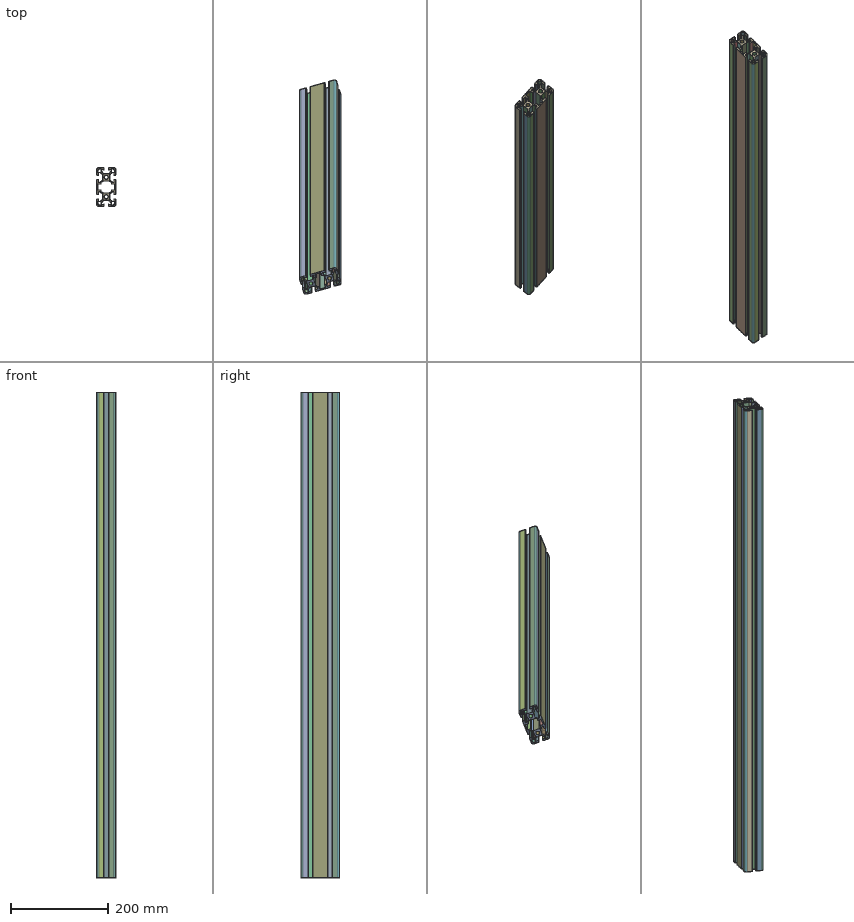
import cadquery as cq

MODULE = 40.0
MODULE_COUNT = 2
LENGTH = 1000.0
PROFILE_DEPTH = MODULE * MODULE_COUNT
HALF_WIDTH = MODULE / 2
HALF_DEPTH = PROFILE_DEPTH / 2
CORE_OFFSET = MODULE / 2
CORNER_RADIUS = 4.6

MOUTH_WIDTH = 10.8
MOUTH_DEPTH = 0.45
THROAT_WIDTH = 8.3
LIP_DEPTH_AT_SIDE = 4.15
LIP_DEPTH_AT_THROAT = 4.55
SLOT_WIDTH = 20.5
SLOT_DEPTH = 12.5
SLOT_TAPER_DEPTH = 5.9
SLOT_FLOOR_WIDTH = 11.0

CORE_BORE = 7.6
CORNER_WALL = 2.85
POCKET_SIZE = 6.85
POCKET_RADIUS = 4.0

CHAMBER_WIDTH = 20.7
CHAMBER_DEPTH = 24.0
CHAMBER_TAPER_DEPTH = 2.0
CHAMBER_END_WIDTH = 12.0
SIDE_WALL = 2.8
SIDE_ARM_DEPTH = 12.1


def make_blank():
    blank = cq.Workplane("XY").rect(MODULE, PROFILE_DEPTH).extrude(LENGTH)
    return blank.edges("|Z").fillet(CORNER_RADIUS)


def make_slot(x, y, angle):
    """T-slot opening at the face point (x, y); at angle 0 it runs inwards along -Y."""
    taper_start = SLOT_DEPTH - SLOT_TAPER_DEPTH
    right_side = [
        (MOUTH_WIDTH / 2, 0),
        (MOUTH_WIDTH / 2, -MOUTH_DEPTH),
        (THROAT_WIDTH / 2, -MOUTH_DEPTH),
        (THROAT_WIDTH / 2, -LIP_DEPTH_AT_THROAT),
        (SLOT_WIDTH / 2, -LIP_DEPTH_AT_SIDE),
        (SLOT_WIDTH / 2, -taper_start),
        (SLOT_FLOOR_WIDTH / 2, -SLOT_DEPTH),
    ]
    left_side = [(-px, py) for px, py in reversed(right_side)]
    slot = cq.Workplane("XY").polyline(right_side + left_side).close().extrude(LENGTH)
    return slot.rotate((0, 0, 0), (0, 0, 1), angle).translate((x, y, 0))


def make_central_chamber():
    """Hollow between the cores: tapered at both ends, with an arm towards each side wall."""
    body_end = CHAMBER_DEPTH / 2
    taper_start = body_end - CHAMBER_TAPER_DEPTH
    right_side = [
        (CHAMBER_END_WIDTH / 2, body_end),
        (CHAMBER_WIDTH / 2, taper_start),
        (CHAMBER_WIDTH / 2, -taper_start),
        (CHAMBER_END_WIDTH / 2, -body_end),
    ]
    left_side = [(-px, py) for px, py in reversed(right_side)]
    body = cq.Workplane("XY").polyline(right_side + left_side).close().extrude(LENGTH)
    arms = cq.Workplane("XY").rect(MODULE - 2 * SIDE_WALL, SIDE_ARM_DEPTH).extrude(LENGTH)
    return body.union(arms)


def make_core_bores():
    centres = [(0, -CORE_OFFSET), (0, CORE_OFFSET)]
    return cq.Workplane("XY").pushPoints(centres).circle(CORE_BORE / 2).extrude(LENGTH)


def make_corner_pockets():
    """Square hollow inside each outer corner, rounded towards that corner."""
    centre_inset = CORNER_WALL + POCKET_SIZE / 2
    pocket = (
        cq.Workplane("XY")
        .center(HALF_WIDTH - centre_inset, HALF_DEPTH - centre_inset)
        .rect(POCKET_SIZE, POCKET_SIZE)
        .extrude(LENGTH)
    )
    pocket = pocket.edges("|Z").edges(">X").edges(">Y").fillet(POCKET_RADIUS)
    pair = pocket.union(pocket.mirror("YZ"))
    return pair.union(pair.mirror("XZ"))


SLOT_PLACES = [
    (0, HALF_DEPTH, 0),
    (0, -HALF_DEPTH, 180),
    (-HALF_WIDTH, CORE_OFFSET, 90),
    (-HALF_WIDTH, -CORE_OFFSET, 90),
    (HALF_WIDTH, CORE_OFFSET, -90),
    (HALF_WIDTH, -CORE_OFFSET, -90),
]

result = make_blank()
for slot_x, slot_y, slot_angle in SLOT_PLACES:
    result = result.cut(make_slot(slot_x, slot_y, slot_angle))
result = result.cut(make_central_chamber())
result = result.cut(make_core_bores())
result = result.cut(make_corner_pockets())